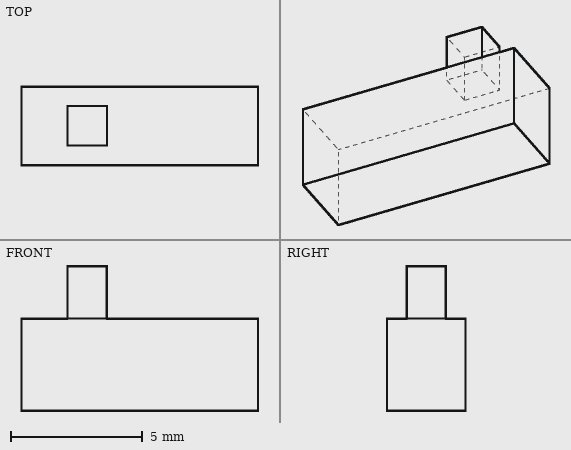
import cadquery as cq

body_length = 9.0
body_width = 3.0
body_height = 3.5

post_side = 1.5
post_height = 2.0
post_offset_x = -2.0


def make_body():
    """Plain rectangular block."""
    return cq.Workplane("XY").box(
        body_length, body_width, body_height, centered=(True, True, False)
    )


def add_post(body):
    """Square post rising from the top face, shifted toward -X."""
    return (
        body.faces(">Z")
        .workplane(origin=(0, 0, body_height))
        .center(post_offset_x, 0)
        .rect(post_side, post_side)
        .extrude(post_height)
    )


result = add_post(make_body())